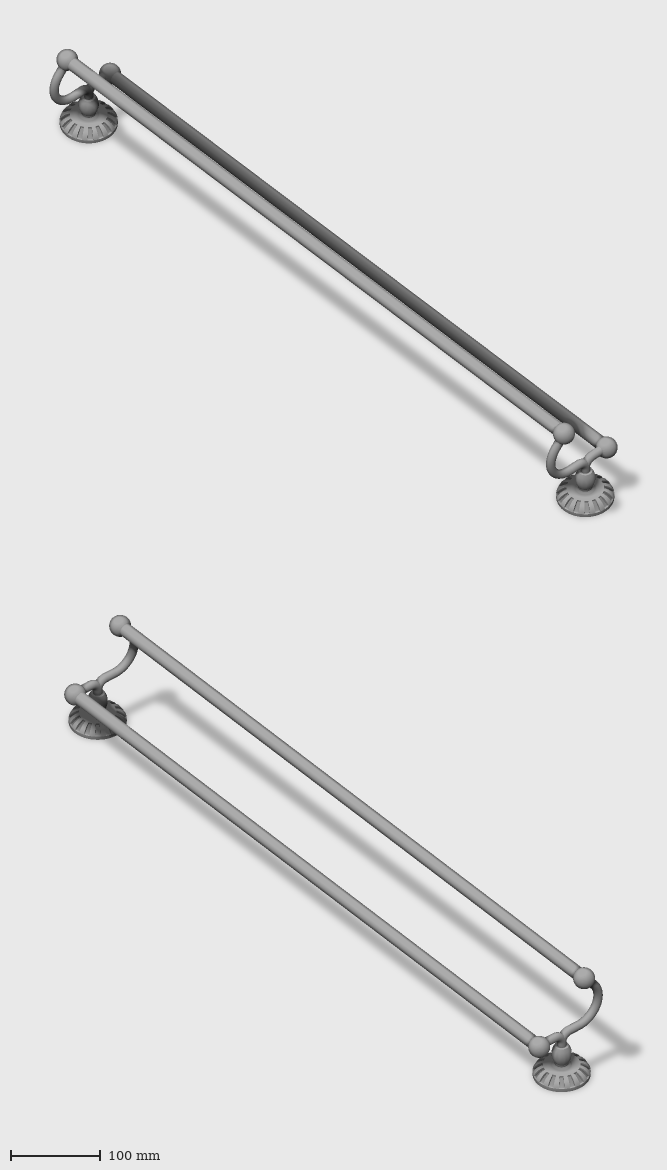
import math

import cadquery as cq

overall_length = 878.0
base_radius = 32.5
post_x = overall_length / 2 - base_radius

bar_radius = 8.0
ball_radius = 12.0
ball_y = 32.5
upper_ball_z = 120.0
lower_ball_z = 55.0
ball_centers = [(ball_y, lower_ball_z), (-ball_y, upper_ball_z)]

tube_radius = 5.0
elbow_radius = 10.5
arm_z = 57.0
hook_radius = 29.0
hook_back_y = -53.0
hook_center_y = hook_back_y + hook_radius
hook_center_z = arm_z + hook_radius

rim_height = 4.0
shoulder_radius = 21.0
shoulder_z = 14.0
flank_bulge = 1.3
flank_mid_radius = (base_radius + shoulder_radius) / 2 + flank_bulge
flank_mid_z = (rim_height + shoulder_z) / 2 + flank_bulge
flute_count = 16
flute_depth = 2.2
flute_angle = 360 / flute_count / 2

foot_radius = 11.0
foot_z = 16.0
collar_radius = 8.0
collar_z = 18.0
barrel_radius = 11.0
barrel_top_z = 41.0


def make_turned_post():
    """Base and post as one turned body, from the floor up to the neck."""
    barrel_mid_z = (collar_z + barrel_top_z) / 2
    return (
        cq.Workplane("XZ")
        .lineTo(base_radius, 0)
        .lineTo(base_radius, rim_height)
        .threePointArc((flank_mid_radius, flank_mid_z), (shoulder_radius, shoulder_z))
        .lineTo(foot_radius, shoulder_z)
        .lineTo(collar_radius, foot_z)
        .lineTo(collar_radius, collar_z)
        .threePointArc((barrel_radius, barrel_mid_z), (collar_radius, barrel_top_z))
        .lineTo(0, barrel_top_z)
        .close()
        .revolve(360, (0, 0, 0), (0, 1, 0))
    )


def make_flute():
    """Cutter for one radial flute across the curved flank of the base."""
    floor_mid = (flank_mid_radius - flute_depth, flank_mid_z - flute_depth)
    return (
        cq.Workplane("XZ")
        .moveTo(base_radius - flute_depth, rim_height)
        .threePointArc(floor_mid, (shoulder_radius, shoulder_z - flute_depth))
        .lineTo(shoulder_radius, shoulder_z + flute_depth)
        .lineTo(base_radius + flute_depth, shoulder_z + flute_depth)
        .lineTo(base_radius + flute_depth, rim_height)
        .close()
        .revolve(flute_angle, (0, 0, 0), (0, 1, 0))
    )


def make_half_tube(path, side):
    """Tube along the path, keeping only the half on the given side of the post axis."""
    tube = cq.Workplane("XY", origin=(0, 0, barrel_top_z)).circle(tube_radius).sweep(path)
    reach = overall_length / 2
    half_space = cq.Workplane("XY").box(reach, reach, reach).translate((0, side * reach / 2, 0))
    return tube.intersect(half_space)


def make_elbow_path(side):
    """Path from the post up and over, towards +Y (side 1) or -Y (side -1)."""
    start_z = arm_z - elbow_radius
    mid_y = elbow_radius * (1 - math.sqrt(0.5))
    mid_z = start_z + elbow_radius * math.sqrt(0.5)
    return (
        cq.Workplane("YZ")
        .moveTo(0, barrel_top_z)
        .lineTo(0, start_z)
        .threePointArc((side * mid_y, mid_z), (side * elbow_radius, arm_z))
    )


def make_hook_path():
    """Rear elbow, then the hook arc, then its tangent line into the upper ball."""
    to_ball_y = -ball_y - hook_center_y
    to_ball_z = upper_ball_z - hook_center_z
    ball_distance = math.hypot(to_ball_y, to_ball_z)
    tangent_angle = math.atan2(to_ball_z, to_ball_y) + math.acos(hook_radius / ball_distance)
    tangent_point = (
        hook_center_y + hook_radius * math.cos(tangent_angle),
        hook_center_z + hook_radius * math.sin(tangent_angle),
    )
    return (
        make_elbow_path(-1)
        .lineTo(hook_center_y, arm_z)
        .threePointArc((hook_back_y, hook_center_z), tangent_point)
        .lineTo(-ball_y, upper_ball_z)
    )


def make_bracket():
    """One complete end bracket standing on the origin."""
    bracket = make_turned_post()
    flute = make_flute()
    for index in range(flute_count):
        bracket = bracket.cut(flute.rotate((0, 0, 0), (0, 0, 1), index * 360 / flute_count))
    arm_path = make_elbow_path(1).lineTo(ball_y, arm_z)
    arms = make_half_tube(arm_path, 1).union(make_half_tube(make_hook_path(), -1))
    bracket = bracket.union(arms)
    for y, z in ball_centers:
        bracket = bracket.union(cq.Workplane("XY").sphere(ball_radius).translate((0, y, z)))
    return bracket


bracket = make_bracket()
result = bracket.translate((-post_x, 0, 0)).union(bracket.translate((post_x, 0, 0)))
for y, z in ball_centers:
    bar = cq.Workplane("YZ", origin=(-post_x, y, z)).circle(bar_radius).extrude(2 * post_x)
    result = result.union(bar)